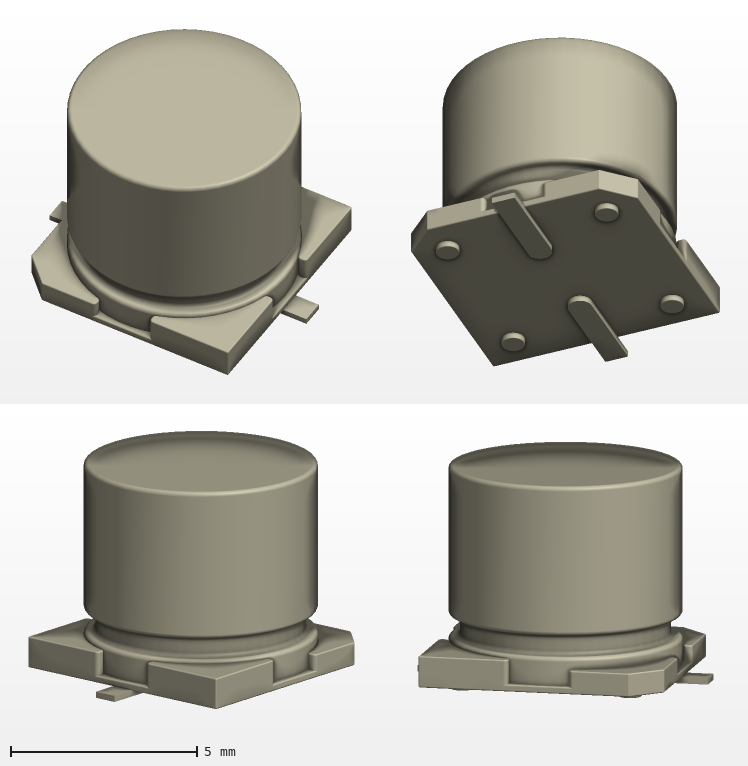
import cadquery as cq
import math

lead_thickness = 0.17
base_bottom = lead_thickness
base_floor = 0.36
low_post_top = 0.81
high_post_top = 1.03
groove_bottom = 1.01
groove_top = 1.825
total_height = 5.8

can_radius = 6.3 / 2
neck_radius = 5.67 / 2
can_top_fillet = 0.12
groove_rounding = 0.12
neck_bottom = groove_bottom + 2 * groove_rounding
neck_top = groove_top - 2 * groove_rounding

base_size = 6.6
corner_chamfer = 0.8
edge_rounding = 0.04
notch_half_width = 0.84
post_tip_rounding = 0.118

lead_span = 8.0
lead_width = 0.66
lead_inner_end = 1.085
foot_diameter = 0.63
foot_offset = 2.31
foot_rounding = 0.02


def make_can():
    """Can with a rounded top and a crimped groove, its foot sunk into the slab."""
    diagonal = groove_rounding * math.sqrt(0.5)
    lip_radius = can_radius - groove_rounding
    fillet_radius = neck_radius + groove_rounding
    lower_ledge = groove_bottom + groove_rounding
    upper_ledge = groove_top - groove_rounding
    profile = (
        cq.Workplane("XZ")
        .moveTo(0, base_bottom + edge_rounding)
        .lineTo(can_radius, base_bottom + edge_rounding)
        .lineTo(can_radius, groove_bottom)
        .threePointArc((lip_radius + diagonal, groove_bottom + diagonal), (lip_radius, lower_ledge))
        .lineTo(fillet_radius, lower_ledge)
        .threePointArc((fillet_radius - diagonal, neck_bottom - diagonal), (neck_radius, neck_bottom))
        .lineTo(neck_radius, neck_top)
        .threePointArc((fillet_radius - diagonal, neck_top + diagonal), (fillet_radius, upper_ledge))
        .lineTo(lip_radius, upper_ledge)
        .threePointArc((lip_radius + diagonal, groove_top - diagonal), (can_radius, groove_top))
        .lineTo(can_radius, total_height)
        .lineTo(0, total_height)
        .close()
    )
    can = profile.revolve(360, (0, 0, 0), (0, 1, 0))
    return can.faces(">Z").edges().fillet(can_top_fillet)


def base_block(bottom, top):
    """Square block with its two -X corners chamfered and upright edges rounded."""
    block = (
        cq.Workplane("XY")
        .workplane(offset=bottom)
        .rect(base_size, base_size)
        .extrude(top - bottom)
    )
    block = block.edges("|Z and <X").chamfer(corner_chamfer)
    return block.edges("|Z").fillet(edge_rounding)


def make_slab():
    slab = base_block(base_bottom, base_floor)
    return slab.faces("<Z or >Z").edges().fillet(edge_rounding)


def make_post(x_side, y_side, top):
    """Corner post hugging the can, with rounded tips and a rounded top rim."""
    bottom = base_bottom + edge_rounding
    quadrant = (
        cq.Workplane("XY")
        .workplane(offset=bottom)
        .center(x_side * notch_half_width, y_side * notch_half_width)
        .rect(x_side * base_size, y_side * base_size, centered=False)
        .extrude(top - bottom)
    )
    recess = cq.Workplane("XY").circle(can_radius).extrude(total_height)
    post = base_block(bottom, top).intersect(quadrant).cut(recess)

    x_tip = "<X" if x_side > 0 else ">X"
    y_tip = "<Y" if y_side > 0 else ">Y"
    post = post.edges(f"|Z and ({x_tip} or {y_tip})").fillet(post_tip_rounding)
    return post.faces(">Z").edges().fillet(edge_rounding)


def make_lead(x_side):
    """Flat lead running outwards along X, with a full-round inner end."""
    half_width = lead_width / 2
    arc_start = x_side * (lead_inner_end + half_width)
    outer_end = x_side * lead_span / 2
    return (
        cq.Workplane("XY")
        .moveTo(outer_end, -half_width)
        .lineTo(arc_start, -half_width)
        .threePointArc((x_side * lead_inner_end, 0), (arc_start, half_width))
        .lineTo(outer_end, half_width)
        .close()
        .extrude(lead_thickness)
    )


def make_foot(x_side, y_side):
    foot = (
        cq.Workplane("XY")
        .center(x_side * foot_offset, y_side * foot_offset)
        .circle(foot_diameter / 2)
        .extrude(base_bottom)
    )
    return foot.faces("<Z").edges().fillet(foot_rounding)


result = make_slab().union(make_can())
for x_side in (-1, 1):
    post_top = high_post_top if x_side > 0 else low_post_top
    result = result.union(make_lead(x_side))
    for y_side in (-1, 1):
        result = result.union(make_post(x_side, y_side, post_top))
        result = result.union(make_foot(x_side, y_side))
result = result.clean()